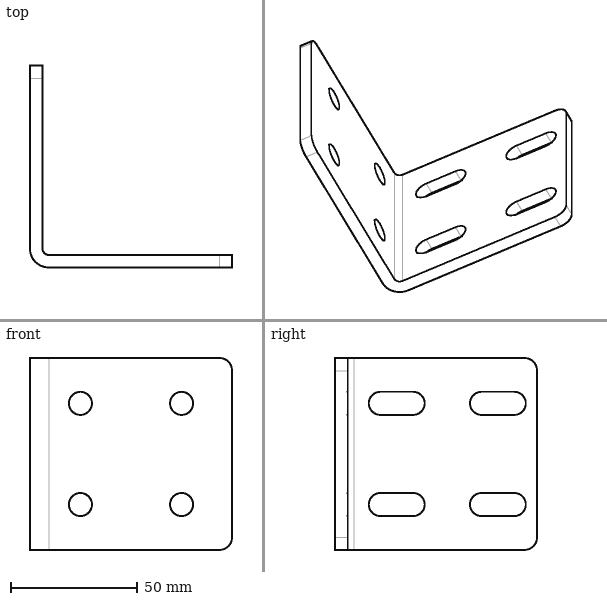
import cadquery as cq

leg_length = 80
height = 76
thickness = 5.0
inner_bend_radius = 2.5
outer_bend_radius = inner_bend_radius + thickness
corner_radius = 5.0

hole_diameter = 9.0
hole_spacing = 40
hole_center_x = leg_length / 2
slot_length = 22.0
slot_center_y = 44.5


def make_angle():
    """L-shaped sheet with its outer bend edge at the origin."""
    profile = (
        cq.Workplane("XY")
        .moveTo(0, 0)
        .lineTo(leg_length, 0)
        .lineTo(leg_length, thickness)
        .lineTo(thickness, thickness)
        .lineTo(thickness, leg_length)
        .lineTo(0, leg_length)
        .close()
    )
    angle = profile.extrude(height)
    outer_edge = cq.selectors.NearestToPointSelector((0, 0, height / 2))
    angle = angle.edges(outer_edge).fillet(outer_bend_radius)
    inner_edge = cq.selectors.NearestToPointSelector((thickness, thickness, height / 2))
    return angle.edges(inner_edge).fillet(inner_bend_radius)


def round_free_corners(angle):
    """Round the upper and lower corners at the free end of each leg."""
    angle = angle.faces(">X").edges("|Y").fillet(corner_radius)
    return angle.faces(">Y").edges("|X").fillet(corner_radius)


def hole_cutters():
    """Four round holes through the leg along X."""
    return (
        cq.Workplane("XZ", origin=(hole_center_x, 0, height / 2))
        .rarray(hole_spacing, hole_spacing, 2, 2)
        .circle(hole_diameter / 2)
        .extrude(-thickness)
    )


def slot_cutters():
    """Four horizontal slots through the leg along Y."""
    return (
        cq.Workplane("YZ", origin=(0, slot_center_y, height / 2))
        .rarray(hole_spacing, hole_spacing, 2, 2)
        .slot2D(slot_length, hole_diameter)
        .extrude(thickness)
    )


result = round_free_corners(make_angle()).cut(hole_cutters()).cut(slot_cutters())